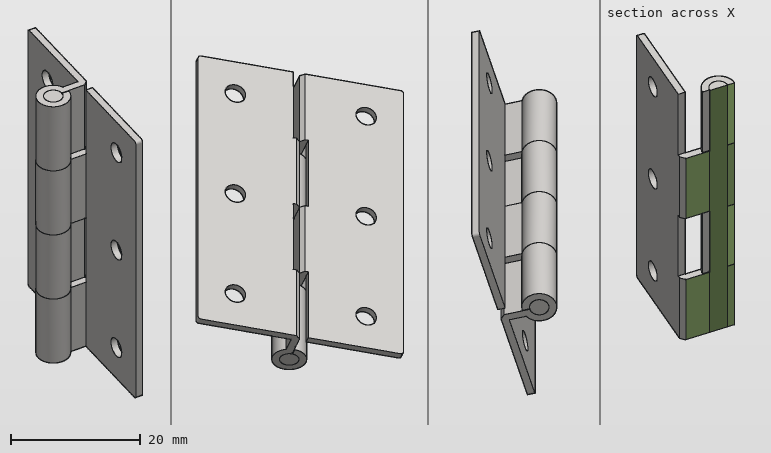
import cadquery as cq

height = 50.0
width = 33.0
sheet = 1.2
pin_radius = 1.5
plate_back = 6.3
slit_width = 0.1
bend_chamfer = 0.7
corner_radius = 0.5
hole_diameter = 3.25
hole_x = 10.5
hole_pitch = 19.0
knuckle_count = 4

knuckle_radius = pin_radius + sheet
knuckle_length = height / knuckle_count
plate_front = plate_back - sheet
plate_end = width / 2


def make_plate():
    """Flat plate on the -X side, with rounded outer corners and screw holes."""
    plate = (
        cq.Workplane("XY")
        .box(plate_end - sheet, sheet, height, centered=False)
        .translate((-plate_end, plate_front, 0))
        .edges("<X and |Y")
        .fillet(corner_radius)
    )
    for row in (-1, 0, 1):
        hole = (
            cq.Workplane("XZ", origin=(-hole_x, plate_back, height / 2 + row * hole_pitch))
            .circle(hole_diameter / 2)
            .extrude(sheet)
        )
        plate = plate.cut(hole)
    return plate


def make_knuckle(bottom):
    """Rolled knuckle with its bend and neck, for the leaf on the -X side."""
    level = cq.Workplane("XY", origin=(0, 0, bottom))
    barrel = level.circle(knuckle_radius).extrude(knuckle_length)
    slit = (
        level.center(slit_width / 2, knuckle_radius / 2)
        .rect(slit_width, knuckle_radius)
        .extrude(knuckle_length)
    )
    neck = (
        level.moveTo(0, pin_radius)
        .lineTo(0, plate_back - bend_chamfer)
        .lineTo(-bend_chamfer, plate_back)
        .lineTo(-sheet, plate_back)
        .lineTo(-sheet, pin_radius)
        .close()
        .extrude(knuckle_length)
    )
    bore = level.circle(pin_radius).extrude(knuckle_length)
    return barrel.cut(slit).union(neck).cut(bore)


def make_leaf(first_knuckle):
    """Leaf on the -X side that carries every second knuckle."""
    leaf = make_plate()
    for index in range(first_knuckle, knuckle_count, 2):
        leaf = leaf.union(make_knuckle(index * knuckle_length))
    return leaf


def make_pin():
    """Plain pin, flush with both ends of the barrel."""
    return cq.Workplane("XY").circle(pin_radius).extrude(height)


left_leaf = make_leaf(1)
right_leaf = make_leaf(0).mirror("YZ")
pin = make_pin()

result = cq.Compound.makeCompound([left_leaf.val(), right_leaf.val(), pin.val()])